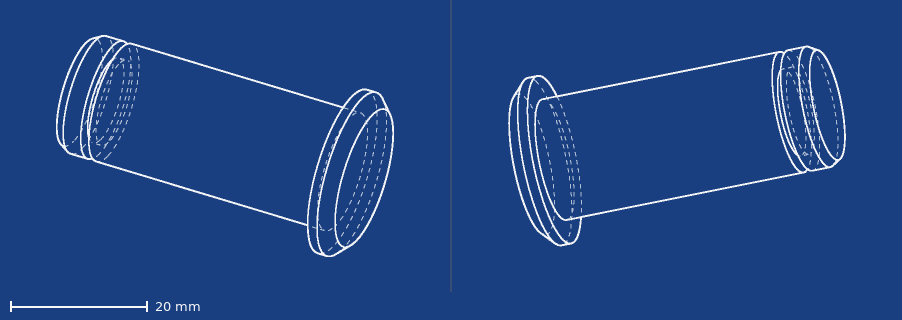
import cadquery as cq
import math

total_length = 45.5
shank_diameter = 18.0
head_diameter = 25.0
head_thickness = 3.5
head_chamfer = 2.0

tip_length = 1.4
tip_angle = 30.0

groove_diameter = 13.0
groove_start = 4.2
groove_width = 1.3

shank_length = total_length - head_thickness
tip_depth = tip_length * math.tan(math.radians(tip_angle))
tip_diameter = shank_diameter - 2 * tip_depth


def cylinder(diameter, start, length):
    """Solid cylinder on the X axis, from start towards +X."""
    return cq.Workplane("YZ", origin=(start, 0, 0)).circle(diameter / 2).extrude(length)


def make_shank():
    """Shank turned from its half profile, with a conical lead-in at the free end."""
    half_profile = (
        cq.Workplane("XY")
        .moveTo(0, 0)
        .lineTo(0, tip_diameter / 2)
        .lineTo(tip_length, shank_diameter / 2)
        .lineTo(shank_length, shank_diameter / 2)
        .lineTo(shank_length, 0)
        .close()
    )
    return half_profile.revolve(360, (0, 0, 0), (1, 0, 0))


def make_head():
    """Round head with its outer rim chamfered."""
    head = cylinder(head_diameter, shank_length, head_thickness)
    return head.faces(">X").edges().chamfer(head_chamfer)


def make_groove():
    """Ring of material removed for the retaining ring."""
    blank = cylinder(shank_diameter, groove_start, groove_width)
    core = cylinder(groove_diameter, groove_start, groove_width)
    return blank.cut(core)


result = make_shank().union(make_head()).cut(make_groove())